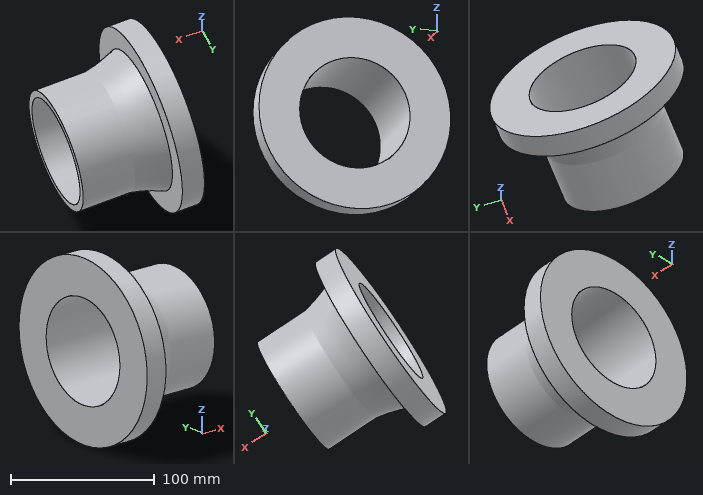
import cadquery as cq

flange_diameter = 138.0
flange_thickness = 17.1
total_length = 82.0
pipe_diameter = 90.0
bore_diameter = 79.2
neck_base_diameter = 105.2
neck_length = 25.0
neck_sag = 0.8

flange_radius = flange_diameter / 2
pipe_radius = pipe_diameter / 2
bore_radius = bore_diameter / 2
neck_base_radius = neck_base_diameter / 2
neck_end = flange_thickness + neck_length

neck_middle = (
    flange_thickness + neck_length / 2,
    (neck_base_radius + pipe_radius) / 2 - neck_sag,
)

half_section = (
    cq.Workplane("XY")
    .moveTo(0, bore_radius)
    .lineTo(0, flange_radius)
    .lineTo(flange_thickness, flange_radius)
    .lineTo(flange_thickness, neck_base_radius)
    .threePointArc(neck_middle, (neck_end, pipe_radius))
    .lineTo(total_length, pipe_radius)
    .lineTo(total_length, bore_radius)
    .close()
)

result = half_section.revolve(360, (0, 0, 0), (1, 0, 0))